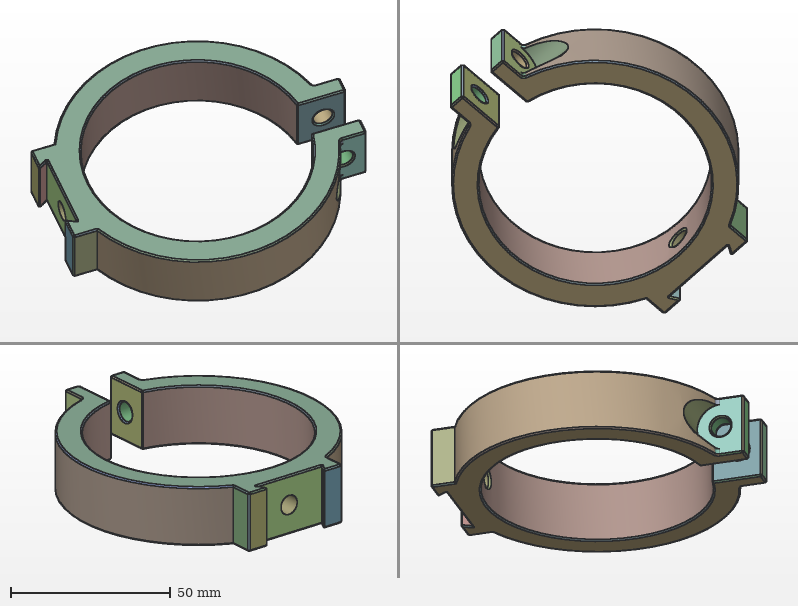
import cadquery as cq
import math

height = 20.0
outer_radius = 45.0
bore_radius = 36.5
edge_chamfer = 0.5
chamfer_angle = 45
core_height = height - 2 * edge_chamfer

lug_end_y = 52.3
gap_half_width = 6.2
lug_outer_x = 11.9
lug_root_radius = 1.2

pad_end_y = lug_end_y - 101.2
pad_half_width = 18.8
slot_depth = 3.3
slot_mouth_half_width = 11.1
slot_angle = 60
slot_floor_y = pad_end_y + slot_depth
slot_floor_half_width = slot_mouth_half_width + slot_depth / math.tan(math.radians(slot_angle))

hole_diameter = 6.5
screw_y = lug_end_y - 7.6
spotface_radius = 7.7
hole_chamfer = 0.5


def block(x_min, x_max, y_min, y_max):
    """Rectangular block between the face chamfers, symmetric about Z = 0."""
    return (
        cq.Workplane("XY")
        .box(x_max - x_min, y_max - y_min, core_height, centered=(False, False, True))
        .translate((x_min, y_min, 0))
    )


def vertical_edges_at(body, points):
    """Pick the vertical edges that pass through the given (x, y) points."""
    half_size = 0.05
    edges = body.edges("|Z")
    picked = []
    for x, y in points:
        selector = cq.selectors.BoxSelector(
            (x - half_size, y - half_size, -half_size),
            (x + half_size, y + half_size, half_size),
        )
        picked += edges.edges(selector).vals()
    return body.newObject(picked)


def mirrored(points):
    """Repeat the points on both sides of the YZ plane."""
    return [(side * x, y) for side in (-1, 1) for x, y in points]


def face_layers(outline, taper):
    """Layers one edge_chamfer thick at the top and bottom faces, tapered away from mid height."""
    top_layer = (
        cq.Workplane("XY")
        .add(outline.translate(cq.Vector(0, 0, core_height / 2)))
        .toPending()
        .extrude(edge_chamfer, taper=taper)
    )
    return top_layer.union(top_layer.mirror("XY"))


def outer_body():
    """Solid disc with lugs and pad, lug roots rounded and outside edges chamfered."""
    disc = cq.Workplane("XY").circle(outer_radius).extrude(core_height / 2, both=True)
    lugs = block(-lug_outer_x, lug_outer_x, 0, lug_end_y)
    pad = block(-pad_half_width, pad_half_width, pad_end_y, 0)
    lug_roots = mirrored([(lug_outer_x, math.sqrt(outer_radius**2 - lug_outer_x**2))])
    corners = mirrored([(lug_outer_x, lug_end_y), (pad_half_width, pad_end_y)])
    core = disc.union(lugs).union(pad)
    core = vertical_edges_at(core, lug_roots).fillet(lug_root_radius)
    core = vertical_edges_at(core, corners).chamfer(edge_chamfer)
    outline = core.faces(">Z").wires().val().translate(cq.Vector(0, 0, -core_height / 2))
    return core.union(face_layers(outline, chamfer_angle))


def flared_cutter(outline):
    """Cutter with the given outline that widens at both flat faces to chamfer their edges."""
    core = cq.Workplane("XY").add(outline).toPending().extrude(core_height / 2, both=True)
    return core.union(face_layers(outline, -chamfer_angle))


def bore_outline():
    """Circle of the bore."""
    return cq.Wire.makeCircle(bore_radius, cq.Vector(0, 0, 0), cq.Vector(0, 0, 1))


def symmetric_outline(right_side):
    """Closed polygon from the points on its +X side, mirrored in the YZ plane."""
    left_side = [(-x, y) for x, y in reversed(right_side)]
    return cq.Workplane("XY").polyline(right_side + left_side).close().val()


def gap_outline():
    """Gap between the lugs, widened at 45 degrees at the bore and at the lug ends."""
    bore_corner_y = math.sqrt(bore_radius**2 - gap_half_width**2)
    return symmetric_outline([
        (gap_half_width + 2 * edge_chamfer, bore_corner_y - 1.5 * edge_chamfer),
        (gap_half_width, bore_corner_y + edge_chamfer / 2),
        (gap_half_width, lug_end_y - edge_chamfer),
        (gap_half_width + 2 * edge_chamfer, lug_end_y + edge_chamfer),
    ])


def slot_outline():
    """Dovetail slot, with its sharp lips bevelled where it opens through the pad face."""
    chamfer_x = edge_chamfer * math.cos(math.radians(slot_angle))
    chamfer_y = edge_chamfer * math.sin(math.radians(slot_angle))
    lip_half_width = slot_mouth_half_width + chamfer_x
    lip_y = pad_end_y + chamfer_y
    return symmetric_outline([
        (lip_half_width + 2 * chamfer_x, lip_y - 2 * chamfer_y),
        (lip_half_width, lip_y),
        (slot_floor_half_width, slot_floor_y),
    ])


def clamp_body():
    """Outer body opened by the bore, the gap and the dovetail slot."""
    body = outer_body()
    for outline in (bore_outline(), gap_outline(), slot_outline()):
        body = body.cut(flared_cutter(outline))
    return body


def x_cylinder(radius, x_start, length):
    """Cylinder along X on the clamping screw axis."""
    return cq.Solid.makeCylinder(
        radius, length, cq.Vector(x_start, screw_y, 0), cq.Vector(1, 0, 0)
    )


def hole_countersink(x, direction):
    """Cone that chamfers the hole edge at x, narrowing along the X direction."""
    hole_radius = hole_diameter / 2
    return cq.Solid.makeCone(
        hole_radius + hole_chamfer, hole_radius, hole_chamfer,
        cq.Vector(x, screw_y, 0), cq.Vector(direction, 0, 0),
    )


def cut_clamp_screw(body):
    """Through hole across both lugs, with spotfaces cut into the ring outside them."""
    body = body.cut(x_cylinder(hole_diameter / 2, -outer_radius, 2 * outer_radius))
    spotface_length = outer_radius - lug_outer_x
    for spotface_start in (-outer_radius, lug_outer_x):
        body = body.cut(x_cylinder(spotface_radius, spotface_start, spotface_length))
    for side in (-1, 1):
        body = body.cut(hole_countersink(side * lug_outer_x, -side))
        body = body.cut(hole_countersink(side * gap_half_width, side))
    return body


def cut_pad_hole(body):
    """Radial hole from the slot floor into the bore, chamfered at the bore."""
    hole_radius = hole_diameter / 2
    hole = cq.Solid.makeCylinder(
        hole_radius, -pad_end_y, cq.Vector(0, pad_end_y, 0), cq.Vector(0, 1, 0)
    )
    countersink = cq.Solid.makeCone(
        hole_radius + 2 * hole_chamfer, hole_radius, 2 * hole_chamfer,
        cq.Vector(0, hole_chamfer - bore_radius, 0), cq.Vector(0, -1, 0),
    )
    return body.cut(hole).cut(countersink)


result = cut_pad_hole(cut_clamp_screw(clamp_body()))